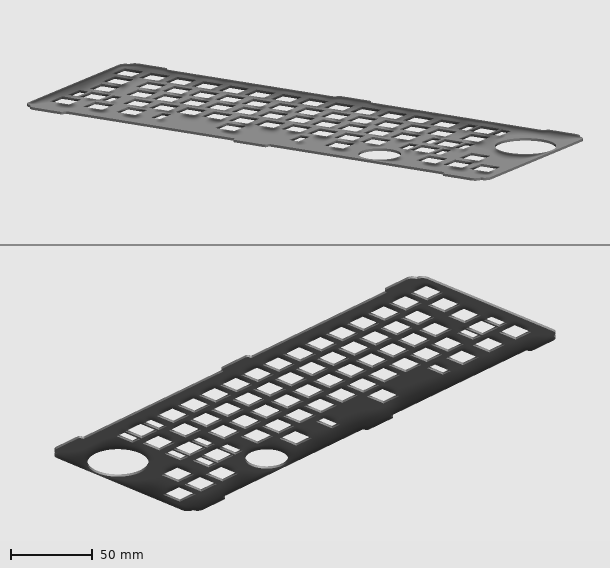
import cadquery as cq

LENGTH = 333.85
WIDTH = 122.37
THICKNESS = 1.6

TAB_HEIGHT = 3.0
BODY_WIDTH = WIDTH - 2 * TAB_HEIGHT
SHOULDER_DROP = 4.1
SHOULDER_WIDTH = WIDTH - 2 * SHOULDER_DROP
SHOULDER_CORNER_RADIUS = 4.5
TAB_CORNER_RADIUS = 1.5
TAB_ROOT_RADIUS = 1.2
OUTER_TAB_CORNER_RADIUS = 4.5
END_TAB_INSET = 4.5
END_TAB_LENGTH = 25.5
MIDDLE_TAB_LENGTH = 24.3
MIDDLE_TAB_X = -2.0

UNIT = 19.05
GRID_LEFT = -LENGTH / 2 + 5.0
TOP_ROW_Y = 39.7
SWITCH_SIZE = 13.95

STABILIZER_WIDTH = 6.75
STABILIZER_HEIGHT = 13.2
STABILIZER_DROP = (SWITCH_SIZE - STABILIZER_HEIGHT) / 2
WIDE_KEY_STABILIZER_OFFSET = 11.94
SPACE_BAR_STABILIZER_OFFSET = 50.0

KEY_ROWS = [
    [0.5 + i for i in range(13)] + [14.0],
    [0.75] + [2.0 + i for i in range(12)] + [14.25],
    [0.875] + [2.25 + i for i in range(11)] + [13.875],
    [1.125] + [2.75 + i for i in range(10)] + [13.625, 15.5],
    [0.625, 1.875, 3.125, 6.875, 11.0, 14.5, 15.5, 16.5],
]

STABILIZED_KEYS = [
    (0, 14.0, WIDE_KEY_STABILIZER_OFFSET),
    (2, 13.875, WIDE_KEY_STABILIZER_OFFSET),
    (3, 1.125, WIDE_KEY_STABILIZER_OFFSET),
    (3, 13.625, WIDE_KEY_STABILIZER_OFFSET),
    (4, 6.875, SPACE_BAR_STABILIZER_OFFSET),
]

LARGE_HOLE_DIAMETER = 37.63
LARGE_HOLE_CENTER = (146.35, 20.5)
SMALL_HOLE_DIAMETER = 26.39
SMALL_HOLE_CENTER = (80.4, -42.6)


def key_center(row, units):
    """Plate position of a key given its row and its distance along the row."""
    return (GRID_LEFT + units * UNIT, TOP_ROW_Y - row * UNIT)


def tab_bar(left, right, left_radius, right_radius):
    """Bar across the full width whose ends form a pair of opposite tabs."""
    bar = cq.Workplane("XY").box(right - left, WIDTH, THICKNESS)
    bar = bar.edges("|Z and <X").fillet(left_radius)
    bar = bar.edges("|Z and >X").fillet(right_radius)
    return bar.translate(((left + right) / 2, 0, 0))


def plate_blank():
    """Body with rounded shoulders at its corners and three tabs along each long edge."""
    body = cq.Workplane("XY").box(LENGTH, SHOULDER_WIDTH, THICKNESS)
    body = body.edges("|Z").fillet(SHOULDER_CORNER_RADIUS)
    outer = LENGTH / 2 - END_TAB_INSET
    inner = outer - END_TAB_LENGTH
    body = body.union(cq.Workplane("XY").box(2 * inner, BODY_WIDTH, THICKNESS))
    middle_left = MIDDLE_TAB_X - MIDDLE_TAB_LENGTH / 2
    middle_right = MIDDLE_TAB_X + MIDDLE_TAB_LENGTH / 2
    body = body.union(tab_bar(-outer, -inner, OUTER_TAB_CORNER_RADIUS, TAB_CORNER_RADIUS))
    body = body.union(tab_bar(middle_left, middle_right, TAB_CORNER_RADIUS, TAB_CORNER_RADIUS))
    body = body.union(tab_bar(inner, outer, TAB_CORNER_RADIUS, OUTER_TAB_CORNER_RADIUS))
    flanks = [-inner, middle_left, middle_right, inner]
    roots = [(x, side * BODY_WIDTH / 2, 0) for x in flanks for side in (-1, 1)]
    for root in roots:
        body = body.edges(cq.selectors.NearestToPointSelector(root)).fillet(TAB_ROOT_RADIUS)
    return body


def cut_switch_openings(plate):
    """Square opening at every key."""
    centers = [key_center(row, units) for row, keys in enumerate(KEY_ROWS) for units in keys]
    return plate.cut(cq.Workplane("XY").pushPoints(centers).box(SWITCH_SIZE, SWITCH_SIZE, THICKNESS))


def cut_stabilizer_openings(plate):
    """Narrow opening on each side of every stabilized key."""
    centers = []
    for row, units, offset in STABILIZED_KEYS:
        x, y = key_center(row, units)
        for side in (-1, 1):
            centers.append((x + side * offset, y - STABILIZER_DROP))
    openings = cq.Workplane("XY").pushPoints(centers)
    return plate.cut(openings.box(STABILIZER_WIDTH, STABILIZER_HEIGHT, THICKNESS))


def cut_round_opening(plate, center, diameter):
    """Round through opening."""
    return plate.cut(cq.Workplane("XY").center(*center).circle(diameter / 2).extrude(THICKNESS, both=True))


result = plate_blank()
result = cut_switch_openings(result)
result = cut_stabilizer_openings(result)
result = cut_round_opening(result, LARGE_HOLE_CENTER, LARGE_HOLE_DIAMETER)
result = cut_round_opening(result, SMALL_HOLE_CENTER, SMALL_HOLE_DIAMETER)